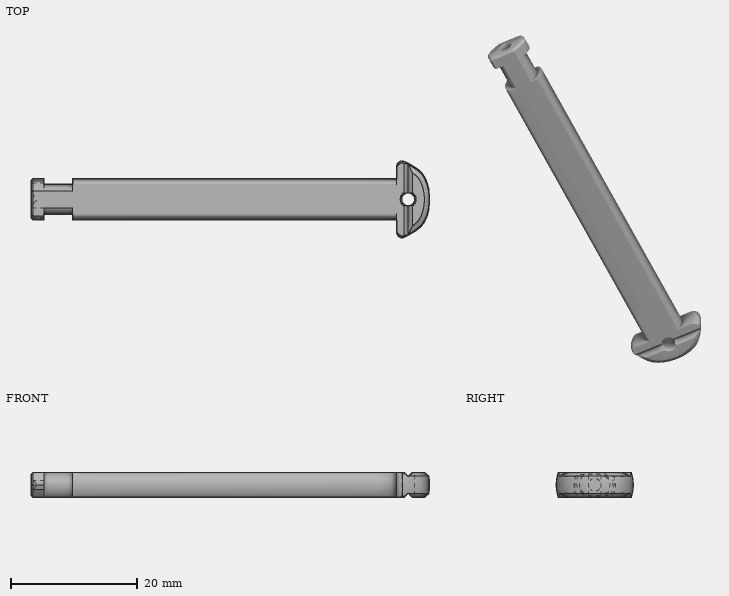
import cadquery as cq
import math

total_length = 63.1
thickness = 4.0
half_thickness = thickness / 2

shaft_radius = 3.3
shaft_edge_radius = 0.5
neck_radius = 2.4
tab_length = 2.0
neck_end = 6.55
end_chamfer = 0.3
center_mark_diameter = 2.0
center_mark_angle = 90.0

cam_outer_y = 2.9
cam_outer_z = 0.7
cam_inner_y = 1.75

head_start = 57.95
head_radius = 6.1
head_corner_radius = 0.95
nose_chamfer = 0.6
dome_points = [(60.55, 5.3), (61.85, 4.3), (62.7, 2.9), (63.05, 1.65), (total_length, 0)]
dome_start_direction = (3, -1)
dome_tip_direction = (0, -1)
groove_x = 59.8
groove_depth = 0.66
cross_hole_diameter = 2.0
cross_hole_chamfer = 0.25


def flattened_bar(radius, start, end):
    """Cylinder along X, cut flat on the top and bottom."""
    bar = cq.Workplane("YZ", origin=(start, 0, 0)).circle(radius).extrude(end - start)
    flats = cq.Workplane("XY").box(3 * total_length, 4 * radius, thickness)
    return bar.intersect(flats)


def make_shaft():
    """Main bar with its long edges rounded."""
    shaft = flattened_bar(shaft_radius, neck_end, head_start + head_corner_radius)
    return shaft.edges("|X").fillet(shaft_edge_radius)


def make_tab():
    """Locking tab: two opposite quarters are full round, the other two are sloped cams."""
    cam_inner_z = math.sqrt(neck_radius**2 - cam_inner_y**2)
    flat_y = math.sqrt(shaft_radius**2 - half_thickness**2)
    neck_flat_y = math.sqrt(neck_radius**2 - half_thickness**2)
    flat_corner_angle = math.asin(half_thickness / neck_radius)
    cam_corner_angle = math.acos(cam_inner_y / neck_radius)
    neck_mid_angle = (flat_corner_angle + cam_corner_angle) / 2
    neck_mid = (neck_radius * math.cos(neck_mid_angle), neck_radius * math.sin(neck_mid_angle))
    round_mid_angle = math.asin(half_thickness / shaft_radius) / 2
    round_mid = (shaft_radius * math.cos(round_mid_angle), shaft_radius * math.sin(round_mid_angle))

    return (
        cq.Workplane("YZ")
        .moveTo(shaft_radius, 0)
        .lineTo(cam_outer_y, cam_outer_z)
        .lineTo(cam_inner_y, cam_inner_z)
        .threePointArc(neck_mid, (neck_flat_y, half_thickness))
        .lineTo(-flat_y, half_thickness)
        .threePointArc((-round_mid[0], round_mid[1]), (-shaft_radius, 0))
        .lineTo(-cam_outer_y, -cam_outer_z)
        .lineTo(-cam_inner_y, -cam_inner_z)
        .threePointArc((-neck_mid[0], -neck_mid[1]), (-neck_flat_y, -half_thickness))
        .lineTo(flat_y, -half_thickness)
        .threePointArc((round_mid[0], -round_mid[1]), (shaft_radius, 0))
        .close()
        .extrude(tab_length)
        .faces("<X")
        .chamfer(end_chamfer)
    )


def make_center_mark():
    """Conical centre mark in the left end."""
    radius = center_mark_diameter / 2
    depth = radius / math.tan(math.radians(center_mark_angle / 2))
    profile = cq.Workplane("XY").polyline([(0, 0), (0, radius), (depth, 0)]).close()
    return profile.revolve(360, (0, 0, 0), (1, 0, 0))


def make_head():
    """Domed head turned about X, flattened, with its nose bevelled beyond the groove."""
    corner_end = head_start + head_corner_radius
    corner_inset = head_corner_radius * (1 - math.cos(math.radians(45)))
    corner_mid = (head_start + corner_inset, head_radius - corner_inset)
    dome = (
        cq.Workplane("XY")
        .moveTo(head_start, 0)
        .lineTo(head_start, head_radius - head_corner_radius)
        .threePointArc(corner_mid, (corner_end, head_radius))
        .spline(dome_points, tangents=[dome_start_direction, dome_tip_direction], includeCurrent=True)
        .close()
        .revolve(360, (0, 0, 0), (1, 0, 0))
    )
    slab = cq.Workplane("XY").box(total_length, 3 * head_radius, thickness)
    rear = dome.intersect(slab.translate((groove_x - total_length / 2, 0, 0)))
    nose = dome.intersect(slab.translate((groove_x + total_length / 2, 0, 0)))
    nose = nose.faces(">Z or <Z").edges("not |Y").chamfer(nose_chamfer)
    return rear.union(nose)


def make_groove(side):
    """V groove across the head; side is 1 for the top face and -1 for the bottom."""
    face_z = side * half_thickness
    return (
        cq.Workplane("XZ")
        .polyline([
            (groove_x - groove_depth, face_z),
            (groove_x + groove_depth, face_z),
            (groove_x, face_z - side * groove_depth),
        ])
        .close()
        .extrude(2 * head_radius, both=True)
    )


def make_cross_hole():
    """Through hole along Z with a small countersink at both faces."""
    radius = cross_hole_diameter / 2
    mouth = radius + cross_hole_chamfer
    straight = half_thickness - cross_hole_chamfer
    profile = [
        (0, -half_thickness),
        (mouth, -half_thickness),
        (radius, -straight),
        (radius, straight),
        (mouth, half_thickness),
        (0, half_thickness),
    ]
    hole = cq.Workplane("XZ").polyline(profile).close().revolve(360, (0, 0, 0), (0, 1, 0))
    return hole.translate((groove_x, 0, 0))


result = (
    make_shaft()
    .union(flattened_bar(neck_radius, tab_length, neck_end))
    .union(make_tab())
    .union(make_head())
    .cut(make_center_mark())
    .cut(make_groove(1))
    .cut(make_groove(-1))
    .cut(make_cross_hole())
)